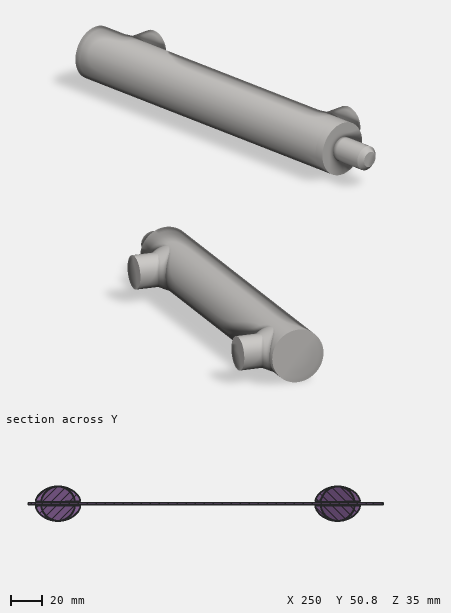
import cadquery as cq
import math

body_diameter = 35.0
body_radius = body_diameter / 2
body_length = 225.0
cap_length = 4.75
head_length = 6.25
head_start = body_length - head_length

rod_diameter = 16.0
rod_end = 250.0
rod_chamfer = 3.0

port_diameter = 22.0
port_radius = port_diameter / 2
port_face = 33.32
port_positions = (19.0, 196.0)

weld_leg = 3.5
weld_foot_radius = port_radius + weld_leg
weld_root_radius = 9.0
weld_root_cylinder_radius = 12.0
weld_curve_steps = 72


def cylinder_along_x(diameter, start, end):
    return cq.Workplane("YZ", origin=(start, 0, 0)).circle(diameter / 2).extrude(end - start)


def cylinder_along_y(diameter, x, end):
    """Cylinder from the body axis out to Y = end."""
    return cq.Workplane("XZ", origin=(x, 0, 0)).circle(diameter / 2).extrude(-end)


body_envelope = cylinder_along_x(body_diameter, 0, body_length)


def make_cap():
    return cylinder_along_x(body_diameter, 0, cap_length)


def make_barrel():
    return cylinder_along_x(body_diameter, cap_length, head_start)


def make_head():
    head = cylinder_along_x(body_diameter, head_start, body_length)
    return head.cut(cylinder_along_x(rod_diameter, head_start, body_length))


def make_rod():
    rod = cylinder_along_x(rod_diameter, head_start, rod_end)
    return rod.faces(">X").edges().chamfer(rod_chamfer)


def make_port(x):
    return cylinder_along_y(port_diameter, x, port_face).cut(body_envelope)


def saddle_curve(x, ring_radius, cylinder_radius):
    """Closed curve around a port axis, lying on a cylinder about the X axis."""
    def point(turn):
        angle = 2 * math.pi * turn
        z = ring_radius * math.sin(angle)
        return (x + ring_radius * math.cos(angle), math.sqrt(cylinder_radius**2 - z**2), z)

    return cq.Workplane("XY").parametricCurve(point, N=weld_curve_steps).val().Edges()[0]


def make_weld(x):
    """Ring with its crest on the port and its foot on the body; the joint trims its buried root."""
    crest = saddle_curve(x, port_radius, body_radius + weld_leg)
    foot = saddle_curve(x, weld_foot_radius, body_radius)
    root = saddle_curve(x, weld_root_radius, weld_root_cylinder_radius)
    sides = [
        cq.Face.makeRuledSurface(crest, foot),
        cq.Face.makeRuledSurface(foot, root),
        cq.Face.makeRuledSurface(root, crest),
    ]
    ring = cq.Solid.makeSolid(cq.Shell.makeShell(sides))
    port = cylinder_along_y(port_diameter, x, port_face)
    return cq.Workplane(ring).cut(body_envelope).cut(port)


cap = make_cap()
barrel = make_barrel()
head = make_head()
rod = make_rod()
ports = [make_port(x) for x in port_positions]
welds = [make_weld(x) for x in port_positions]

result = cq.Compound.makeCompound(
    [body.val() for body in (cap, barrel, head, rod, *ports, *welds)]
)